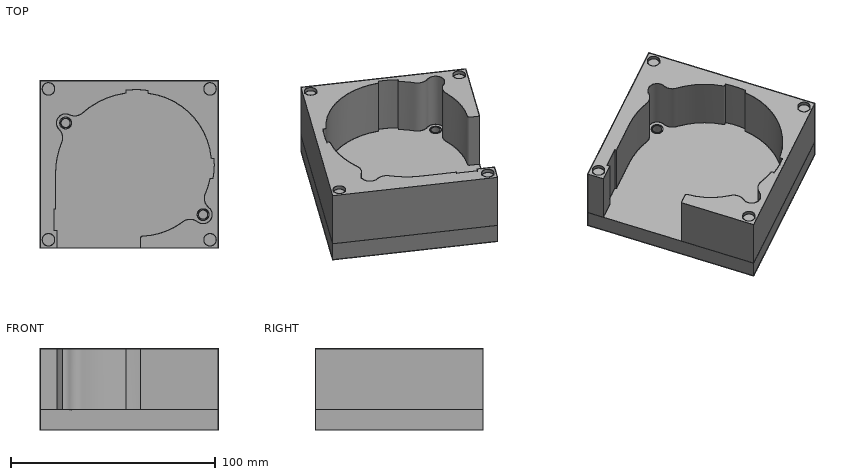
import cadquery as cq
import math

LENGTH = 87.3
WIDTH = 82.0
HEIGHT = 40.0
BASE_HEIGHT = 10.0
WALL_HEIGHT = HEIGHT - BASE_HEIGHT

RIGHT_CENTER = (48.8, 40.9)
RIGHT_RADIUS = 35.1
LEFT_CENTER = (47.0, 36.7)
LEFT_RADIUS = 39.4
DUCT_LEFT = LEFT_CENTER[0] - LEFT_RADIUS
DUCT_RIGHT = 49.2
DUCT_CORNER_RADIUS = 0.9

LIP_WIDTH = 0.7
LIP_LENGTH = 8.6
SIDE_RECESS_DEPTH = 0.8
SIDE_RECESS_LENGTH = 10.5

CLIP_DEPTH = 1.4
TOP_CLIP_X = (42.15, 52.8)
RIGHT_CLIP_Y = (34.2, 43.9)
CLIP_EDGE_RADIUS = 0.6

EAR_CENTERS = [(12.5, 61.3), (79.75, 16.4)]
EAR_RADIUS = 4.45
EAR_BLEND_RADIUS = 5.8
INSERT_DIAMETER = 5.8
INSERT_BORE = 4.5
INSERT_LENGTH = 6.0

MAGNET_DIAMETER = 6.1
MAGNET_DEPTH = 2.0
MAGNET_INSET = 4.1


def block(x_range, y_range):
    """Box of wall height over the given plan ranges, standing on the base."""
    x_min, x_max = x_range
    y_min, y_max = y_range
    return (
        cq.Workplane("XY", origin=(x_min, y_min, BASE_HEIGHT))
        .box(x_max - x_min, y_max - y_min, WALL_HEIGHT, centered=False)
    )


def disc(center, radius):
    """Cylinder of wall height, standing on the base."""
    return cq.Workplane("XY", origin=(*center, BASE_HEIGHT)).circle(radius).extrude(WALL_HEIGHT)


def half_chord(offset, radius):
    """Half the length of a circle's chord at a given offset from its center."""
    return math.sqrt(radius**2 - offset**2)


def circle_height(x, center, radius):
    """Y of the rear half of a circle at a given X."""
    return center[1] + half_chord(x - center[0], radius)


def circle_crossings(center_a, radius_a, center_b, radius_b):
    """The two points where two circles cross."""
    dx = center_b[0] - center_a[0]
    dy = center_b[1] - center_a[1]
    distance = math.hypot(dx, dy)
    along = (distance**2 + radius_a**2 - radius_b**2) / (2 * distance)
    across = half_chord(along, radius_a)
    ux, uy = dx / distance, dy / distance
    return [
        (center_a[0] + along * ux - side * across * uy, center_a[1] + along * uy + side * across * ux)
        for side in (1, -1)
    ]


def fillet_upright(body, point, radius):
    """Fillet the vertical edge that passes through a plan point."""
    middle = (*point, BASE_HEIGHT + WALL_HEIGHT / 2)
    return body.edges("|Z").edges(cq.selectors.NearestToPointSelector(middle)).fillet(radius)


def make_ear_neck(ear_center, volute_center, volute_radius):
    """Waisted opening between an ear and the volute; its two flanks are arcs tangent to both."""
    flank_a, flank_b = circle_crossings(
        ear_center, EAR_RADIUS + EAR_BLEND_RADIUS, volute_center, volute_radius + EAR_BLEND_RADIUS
    )
    neck = (
        cq.Workplane("XY", origin=(0, 0, BASE_HEIGHT))
        .polyline([ear_center, flank_a, volute_center, flank_b])
        .close()
        .extrude(WALL_HEIGHT)
    )
    return neck.cut(disc(flank_a, EAR_BLEND_RADIUS)).cut(disc(flank_b, EAR_BLEND_RADIUS))


def make_cavity():
    arc_join_x = sum(TOP_CLIP_X) / 2
    left_half = disc(LEFT_CENTER, LEFT_RADIUS).intersect(block((0, arc_join_x), (LEFT_CENTER[1], WIDTH)))
    duct = block((DUCT_LEFT, DUCT_RIGHT), (0, LEFT_CENTER[1]))
    cavity = disc(RIGHT_CENTER, RIGHT_RADIUS).union(left_half).union(duct)

    corner_drop = half_chord(DUCT_RIGHT - RIGHT_CENTER[0], RIGHT_RADIUS)
    cavity = fillet_upright(cavity, (DUCT_RIGHT, RIGHT_CENTER[1] - corner_drop), DUCT_CORNER_RADIUS)

    volute_arcs = [(LEFT_CENTER, LEFT_RADIUS), (RIGHT_CENTER, RIGHT_RADIUS)]
    for ear_center, volute_arc in zip(EAR_CENTERS, volute_arcs):
        cavity = cavity.union(disc(ear_center, EAR_RADIUS)).union(make_ear_neck(ear_center, *volute_arc))

    top_clip = disc(LEFT_CENTER, LEFT_RADIUS + CLIP_DEPTH).intersect(block(TOP_CLIP_X, (RIGHT_CENTER[1], WIDTH)))
    right_clip = disc(RIGHT_CENTER, RIGHT_RADIUS + CLIP_DEPTH).intersect(
        block((RIGHT_CENTER[0], LENGTH), RIGHT_CLIP_Y)
    )
    side_recess = block((DUCT_LEFT - SIDE_RECESS_DEPTH, DUCT_RIGHT), (LIP_LENGTH, LIP_LENGTH + SIDE_RECESS_LENGTH))
    cavity = cavity.union(top_clip).union(right_clip).union(side_recess)

    clip_edges = [
        (TOP_CLIP_X[0], circle_height(TOP_CLIP_X[0], LEFT_CENTER, LEFT_RADIUS)),
        (TOP_CLIP_X[1], circle_height(TOP_CLIP_X[1], RIGHT_CENTER, RIGHT_RADIUS)),
    ]
    for y in RIGHT_CLIP_Y:
        clip_edges.append((RIGHT_CENTER[0] + half_chord(y - RIGHT_CENTER[1], RIGHT_RADIUS), y))
    for point in clip_edges:
        cavity = fillet_upright(cavity, point, CLIP_EDGE_RADIUS)

    lip = block((DUCT_LEFT, DUCT_LEFT + LIP_WIDTH), (0, LIP_LENGTH))
    return cavity.cut(lip)


def make_housing():
    housing = block((0, LENGTH), (0, WIDTH)).cut(make_cavity())
    magnet_recesses = (
        cq.Workplane("XY", origin=(LENGTH / 2, WIDTH / 2, HEIGHT - MAGNET_DEPTH))
        .rect(LENGTH - 2 * MAGNET_INSET, WIDTH - 2 * MAGNET_INSET, forConstruction=True)
        .vertices()
        .circle(MAGNET_DIAMETER / 2)
        .extrude(MAGNET_DEPTH)
    )
    return housing.cut(magnet_recesses)


def make_base():
    base = cq.Workplane("XY").box(LENGTH, WIDTH, BASE_HEIGHT, centered=False)
    insert_holes = (
        cq.Workplane("XY", origin=(0, 0, BASE_HEIGHT))
        .pushPoints(EAR_CENTERS)
        .circle(INSERT_DIAMETER / 2)
        .extrude(-INSERT_LENGTH)
    )
    return base.cut(insert_holes)


def make_insert(center):
    """Threaded insert, flush with the top of the base."""
    return (
        cq.Workplane("XY", origin=(*center, BASE_HEIGHT))
        .circle(INSERT_DIAMETER / 2)
        .circle(INSERT_BORE / 2)
        .extrude(-INSERT_LENGTH)
    )


housing = make_housing()
base = make_base()
inserts = [make_insert(center) for center in EAR_CENTERS]

result = cq.Compound.makeCompound([housing.val(), base.val(), *[insert.val() for insert in inserts]])